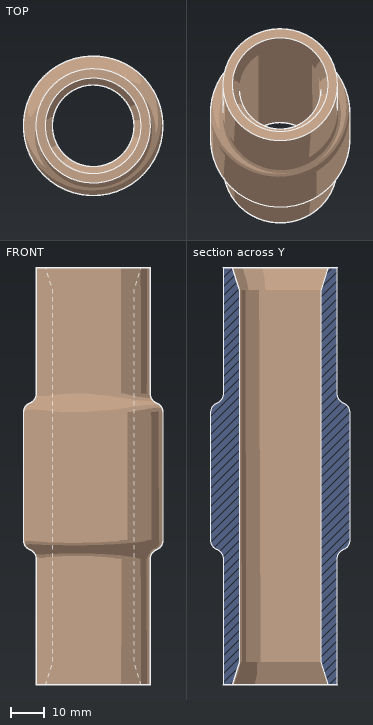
import cadquery as cq
import math

length = 124.0
body_diameter = 41.5
tube_diameter = 34.0
tube_length = 37.5

bore_diameter = 24.2
mouth_diameter = 28.4
taper_depth = 6.7

shoulder_radius = 3.0

body_radius = body_diameter / 2
tube_radius = tube_diameter / 2
half_length = length / 2

shoulder_step = body_radius - tube_radius
arc_angle = math.acos(1 - shoulder_step / (2 * shoulder_radius))
arc_height = shoulder_radius * math.sin(arc_angle)

tube_root_z = half_length - tube_length
inflection_z = tube_root_z - arc_height
body_edge_z = inflection_z - arc_height
inflection_radius = (body_radius + tube_radius) / 2


def spun_about_z(profile):
    """Full revolution of a closed XZ profile about the Z axis."""
    return profile.revolve(360, (0, 0, 0), (0, 1, 0))


def outside():
    """Solid body with a smooth S-shaped shoulder down to each end tube."""
    mid_angle = arc_angle / 2
    convex_mid_radius = body_radius - shoulder_radius * (1 - math.cos(mid_angle))
    convex_mid_z = body_edge_z + shoulder_radius * math.sin(mid_angle)
    concave_mid_radius = tube_radius + shoulder_radius * (1 - math.cos(mid_angle))
    concave_mid_z = tube_root_z - shoulder_radius * math.sin(mid_angle)
    profile = (
        cq.Workplane("XZ")
        .moveTo(0, -half_length)
        .lineTo(tube_radius, -half_length)
        .lineTo(tube_radius, -tube_root_z)
        .threePointArc((concave_mid_radius, -concave_mid_z), (inflection_radius, -inflection_z))
        .threePointArc((convex_mid_radius, -convex_mid_z), (body_radius, -body_edge_z))
        .lineTo(body_radius, body_edge_z)
        .threePointArc((convex_mid_radius, convex_mid_z), (inflection_radius, inflection_z))
        .threePointArc((concave_mid_radius, concave_mid_z), (tube_radius, tube_root_z))
        .lineTo(tube_radius, half_length)
        .lineTo(0, half_length)
        .close()
    )
    return spun_about_z(profile)


def bore():
    """Straight through bore that widens as a cone to each mouth."""
    bore_radius = bore_diameter / 2
    mouth_radius = mouth_diameter / 2
    taper_start_z = half_length - taper_depth
    profile = (
        cq.Workplane("XZ")
        .moveTo(0, -half_length)
        .lineTo(mouth_radius, -half_length)
        .lineTo(bore_radius, -taper_start_z)
        .lineTo(bore_radius, taper_start_z)
        .lineTo(mouth_radius, half_length)
        .lineTo(0, half_length)
        .close()
    )
    return spun_about_z(profile)


result = outside().cut(bore())